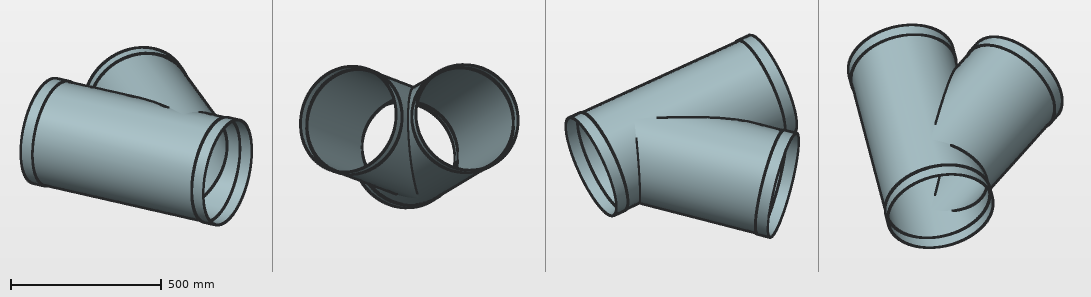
import cadquery as cq

main_length = 682.0
bore_diameter = 349.0
pipe_diameter = 355.0
collar_diameter = 361.0
collar_width = 44.0
socket_diameter = pipe_diameter
socket_depth = 42.0
branch_length = 518.0
branch_angle = 45.0

main_start = -main_length / 2
junction_x = main_start + branch_length


def cylinder(plane, diameter, length, start=0.0):
    """Solid cylinder along the plane normal, beginning at the given distance."""
    return cq.Workplane(plane).workplane(offset=start).circle(diameter / 2).extrude(length)


main_plane = cq.Plane(origin=(main_start, 0, 0), xDir=(0, 1, 0), normal=(1, 0, 0))
branch_plane = cq.Plane(origin=(junction_x, 0, 0), xDir=(0, 0, 1), normal=(-1, 0, 0)).rotated(
    (-branch_angle, 0, 0)
)

main_pipe = cylinder(main_plane, pipe_diameter, main_length)
branch_pipe = cylinder(branch_plane, pipe_diameter, branch_length)
body = main_pipe.union(branch_pipe)

body = body.union(cylinder(main_plane, collar_diameter, collar_width))
for plane, length in [(main_plane, main_length), (branch_plane, branch_length)]:
    body = body.union(cylinder(plane, collar_diameter, collar_width, length - collar_width))

body = body.cut(cylinder(main_plane, bore_diameter, main_length))
body = body.cut(cylinder(branch_plane, bore_diameter, branch_length))

body = body.cut(cylinder(main_plane, socket_diameter, socket_depth))
for plane, length in [(main_plane, main_length), (branch_plane, branch_length)]:
    body = body.cut(cylinder(plane, socket_diameter, socket_depth, length - socket_depth))

result = body